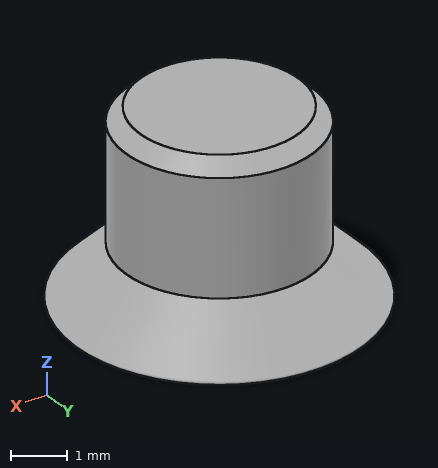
import math

import cadquery as cq

flange_diameter = 6.16
shank_diameter = 4.0
total_height = 3.9

top_chamfer = 0.3
rim_radius = 0.05
flare_angle = math.radians(45)

flange_radius = flange_diameter / 2
shank_radius = shank_diameter / 2

rim_center_x = flange_radius - rim_radius
rim_top_x = rim_center_x + rim_radius * math.sin(flare_angle)
rim_top_z = rim_radius * (1 + math.cos(flare_angle))
flare_top_z = rim_top_z + (rim_top_x - shank_radius) * math.tan(flare_angle)

half_section = (
    cq.Workplane("XZ")
    .lineTo(rim_center_x, 0)
    .threePointArc((flange_radius, rim_radius), (rim_top_x, rim_top_z))
    .lineTo(shank_radius, flare_top_z)
    .lineTo(shank_radius, total_height - top_chamfer)
    .lineTo(shank_radius - top_chamfer, total_height)
    .lineTo(0, total_height)
    .close()
)
result = half_section.revolve(360, (0, 0, 0), (0, 1, 0))